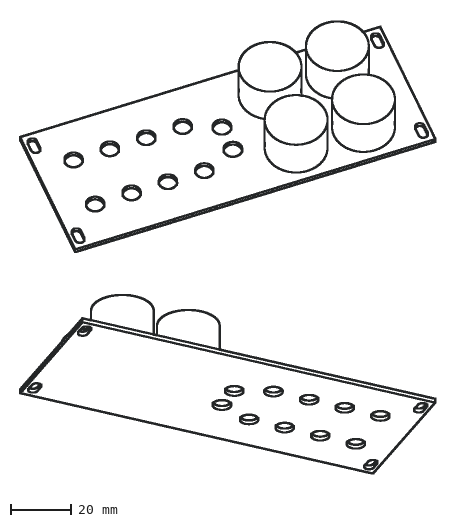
import cadquery as cq

panel_width = 50.8
panel_length = 128.5
panel_thickness = 1.5

slot_length = 6.3
slot_width = 3.2
slot_spacing_x = 40.6
slot_spacing_y = 122.5

pair_diameter = 6.3
pair_spacing = 10.0
pair_y = -0.1

column_diameter = 6.2
column_spacing = 19.9
column_rows = 4
row_pitch = 13.0
first_row_y = -12.2

overall_height = 16.6
knob_diameter = 21.0
knob_height = overall_height - panel_thickness
knob_pitch = 24.0
knob_group_y = 31.7


def rectangle_corners(spacing_x, spacing_y, center_y=0.0):
    """Four points at the corners of a rectangle centred on x = 0."""
    return [
        (side_x * spacing_x / 2, center_y + side_y * spacing_y / 2)
        for side_x in (-1, 1)
        for side_y in (-1, 1)
    ]


def make_panel():
    """Flat panel with mounting slots and through holes, its base at z = 0."""
    pair_points = [(side * pair_spacing / 2, pair_y) for side in (-1, 1)]
    column_points = [
        (side * column_spacing / 2, first_row_y - row * row_pitch)
        for side in (-1, 1)
        for row in range(column_rows)
    ]
    panel = cq.Workplane("XY").box(
        panel_width, panel_length, panel_thickness, centered=(True, True, False)
    )
    top = panel.faces(">Z").workplane(origin=(0, 0, panel_thickness)).tag("top")
    panel = (
        top.pushPoints(rectangle_corners(slot_spacing_x, slot_spacing_y))
        .slot2D(slot_length, slot_width)
        .cutThruAll()
    )
    panel = panel.workplaneFromTagged("top").pushPoints(pair_points).hole(pair_diameter)
    return panel.workplaneFromTagged("top").pushPoints(column_points).hole(column_diameter)


def make_knob(x, y):
    """Plain cylindrical knob standing on the panel's upper face."""
    return (
        cq.Workplane("XY", origin=(x, y, panel_thickness))
        .circle(knob_diameter / 2)
        .extrude(knob_height)
    )


panel = make_panel()
knobs = [make_knob(x, y) for x, y in rectangle_corners(knob_pitch, knob_pitch, knob_group_y)]

result = cq.Compound.makeCompound([panel.val(), *[knob.val() for knob in knobs]])